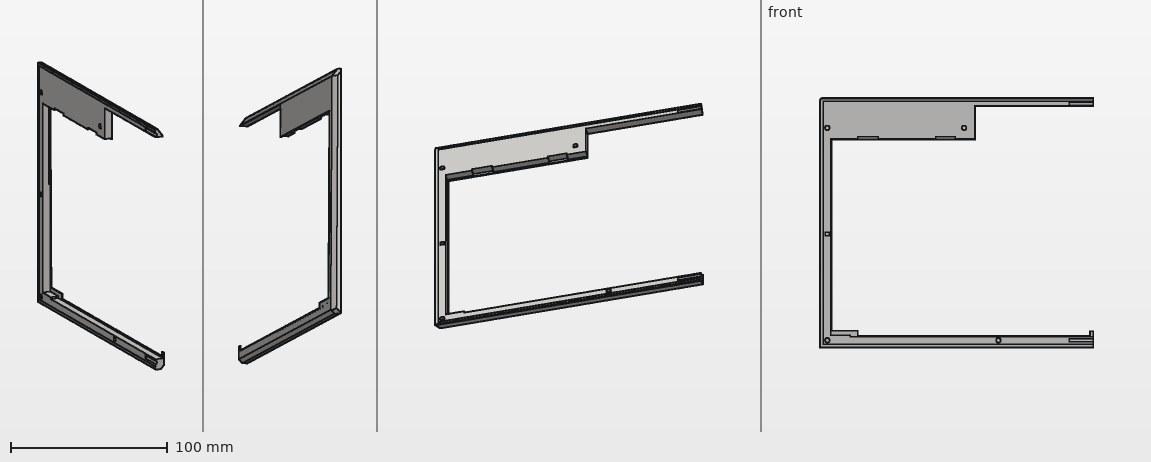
import cadquery as cq

LENGTH = 174.6
HEIGHT = 159.5
DEPTH_BOTTOM = 6.3
DEPTH_TOP = 5.4
MARGIN = 1.7

FRONT_CHAMFER = 0.5
LEFT_BEVEL_X = 3.0
LEFT_BEVEL_START_BOTTOM = 3.5
LEFT_BEVEL_START_TOP = 2.5
TOP_BEVEL_Z = 5.0
TOP_FLAT = 1.5
BOTTOM_BEVEL_Z = 2.5
BOTTOM_FLAT = 3.8

LOWER_FACET_TIP_Y = 0.0
LOWER_FACET_RATE_X = 0.7
LOWER_FACET_RATE_Z = 0.9
UPPER_FACET_TIP_Y = -1.2
UPPER_FACET_RATE_X = 1.1
UPPER_FACET_RATE_Z = 1.3

SIDE_WIDTH = 7.2
LIP = 0.7
LIP_THICKNESS = 0.7
PANEL_RIGHT = 99.2
PANEL_BOTTOM = 133.5
ARM_BOTTOM = 154.2
RAIL_TOP = 7.0
RAIL_STEP_TOP = 8.2
RAIL_STEP_END = 19.4

RIM_WIDTH = 2.3
RECESS_DEPTH = 0.2

TAB_RIGHT = 24.5
TAB_TOP = 11.0
END_TAB_WIDTH = 2.3
END_TAB_TOP = 10.7
NOTCH_SPANS = [(24.3, 37.5), (74.2, 86.5)]
NOTCH_HEIGHT = 1.2

HOLE_DIAMETER = 3.0
HOLE_DEPTH = 2.6
HOLE_INSET = 4.9
HOLE_HIGH_Z = 140.4
PANEL_HOLE_X = 92.2
RAIL_HOLE_X = 114.0
SQUARE_SIZE = 2.5
SQUARE_Z = (HOLE_INSET + HOLE_HIGH_Z) / 2
GROOVE_LENGTH = 15.4
GROOVE_DIAMETER = 2.1
GROOVE_HEIGHTS = [4.9, 155.7]


def box(x0, x1, y0, y1, z0, z1):
    return cq.Workplane("XY").box(x1 - x0, y1 - y0, z1 - z0, centered=False).translate((x0, y0, z0))


def prism_y(points, y0, y1):
    """Extrude an X-Z outline from y0 to y1."""
    return cq.Workplane("XZ", origin=(0, y0, 0)).polyline(points).close().extrude(y0 - y1)


def prism_x(points):
    """Extrude a Y-Z outline past both ends of the frame."""
    return (
        cq.Workplane("YZ", origin=(-MARGIN, 0, 0))
        .polyline(points)
        .close()
        .extrude(LENGTH + 2 * MARGIN)
    )


def back_depth(z):
    """Depth of the sloping back face at height z."""
    return DEPTH_BOTTOM + (DEPTH_TOP - DEPTH_BOTTOM) * z / HEIGHT


def make_blank():
    blank = box(0, LENGTH, 0, DEPTH_BOTTOM, 0, HEIGHT)
    return blank.faces("<Y").edges("<X or >Z or <Z").chamfer(FRONT_CHAMFER)


def left_bevel():
    """Cutter bevelling the left flank, following the sloping back."""
    def section(z):
        rise = (LEFT_BEVEL_START_TOP - LEFT_BEVEL_START_BOTTOM) / HEIGHT
        start = LEFT_BEVEL_START_BOTTOM + rise * z
        bevel_depth = back_depth(z) - start
        slope = LEFT_BEVEL_X / bevel_depth
        reach = bevel_depth + MARGIN
        return cq.Wire.makePolygon([
            cq.Vector(-MARGIN, start - MARGIN / slope, z),
            cq.Vector(reach * slope, start + reach, z),
            cq.Vector(-MARGIN, start + reach, z),
        ], close=True)

    return cq.Workplane(cq.Solid.makeLoft([section(-MARGIN), section(HEIGHT + MARGIN)], True))


def top_bevel():
    slope = TOP_BEVEL_Z / (DEPTH_TOP - TOP_FLAT)
    reach = DEPTH_BOTTOM - TOP_FLAT
    return prism_x([
        (TOP_FLAT, HEIGHT),
        (DEPTH_BOTTOM, HEIGHT - slope * reach),
        (DEPTH_BOTTOM + MARGIN, HEIGHT),
        (DEPTH_BOTTOM, HEIGHT + MARGIN),
    ])


def bottom_bevel():
    return prism_x([
        (BOTTOM_FLAT, 0),
        (DEPTH_BOTTOM, BOTTOM_BEVEL_Z),
        (DEPTH_BOTTOM + MARGIN, 0),
        (DEPTH_BOTTOM, -MARGIN),
    ])


def corner_facet(tip_y, corner_z, rate_x, rate_z):
    """Tetrahedral cutter on the left corner edge at corner_z, widening towards the back."""
    back = DEPTH_BOTTOM + MARGIN
    growth = back - tip_y
    tip = cq.Vector(0, tip_y, corner_z)
    corner = cq.Vector(0, back, corner_z)
    along_x = cq.Vector(rate_x * growth, back, corner_z)
    along_z = cq.Vector(0, back, corner_z + rate_z * growth)
    triangles = [
        (tip, corner, along_x), (tip, along_x, along_z),
        (tip, along_z, corner), (corner, along_z, along_x),
    ]
    faces = [cq.Face.makeFromWires(cq.Wire.makePolygon(points, close=True)) for points in triangles]
    return cq.Workplane(cq.Solid.makeSolid(cq.Shell.makeShell(faces)).fix())


def back_slope():
    return prism_x([
        (DEPTH_BOTTOM, 0),
        (DEPTH_TOP, HEIGHT),
        (DEPTH_BOTTOM + MARGIN, HEIGHT),
    ])


def front_opening():
    right = LENGTH + MARGIN
    points = [
        (SIDE_WIDTH, RAIL_STEP_TOP), (RAIL_STEP_END, RAIL_STEP_TOP),
        (RAIL_STEP_END, RAIL_TOP), (right, RAIL_TOP), (right, ARM_BOTTOM),
        (PANEL_RIGHT, ARM_BOTTOM), (PANEL_RIGHT, PANEL_BOTTOM), (SIDE_WIDTH, PANEL_BOTTOM),
    ]
    opening = prism_y(points, -MARGIN, DEPTH_BOTTOM - LIP_THICKNESS)
    upper_front = prism_y(points, -MARGIN, DEPTH_TOP - LIP_THICKNESS)
    for start, end in NOTCH_SPANS:
        notch = box(start, end, -MARGIN, DEPTH_TOP - LIP_THICKNESS,
                    PANEL_BOTTOM - LIP, PANEL_BOTTOM + NOTCH_HEIGHT)
        upper_front = upper_front.union(notch)
    lower_half = box(0, right, -MARGIN, DEPTH_BOTTOM, 0, HEIGHT / 2)
    return upper_front.union(opening.intersect(lower_half))


def back_opening():
    """Opening through the lip, leaving the two tabs standing."""
    right = LENGTH + MARGIN
    left = SIDE_WIDTH + LIP
    tab_left = LENGTH - END_TAB_WIDTH
    lip_top = RAIL_TOP + LIP
    points = [
        (left, TAB_TOP), (TAB_RIGHT, TAB_TOP), (TAB_RIGHT, lip_top),
        (tab_left, lip_top), (tab_left, END_TAB_TOP), (right, END_TAB_TOP),
        (right, ARM_BOTTOM), (PANEL_RIGHT, ARM_BOTTOM),
        (PANEL_RIGHT, PANEL_BOTTOM - LIP), (left, PANEL_BOTTOM - LIP),
    ]
    return prism_y(points, -MARGIN, DEPTH_BOTTOM + MARGIN)


def front_recess():
    return box(RIM_WIDTH, LENGTH + MARGIN, -MARGIN, RECESS_DEPTH, RIM_WIDTH, HEIGHT - RIM_WIDTH)


def blind_holes():
    centres = [
        (HOLE_INSET, HOLE_INSET), (RAIL_HOLE_X, HOLE_INSET),
        (HOLE_INSET, HOLE_HIGH_Z), (PANEL_HOLE_X, HOLE_HIGH_Z),
    ]
    holes = cq.Workplane("XZ").pushPoints(centres).circle(HOLE_DIAMETER / 2).extrude(-HOLE_DEPTH)
    square = (
        cq.Workplane("XZ")
        .center(HOLE_INSET, SQUARE_Z)
        .rect(SQUARE_SIZE, SQUARE_SIZE)
        .extrude(-HOLE_DEPTH)
    )
    return holes.union(square)


def end_grooves():
    centres = [(RECESS_DEPTH, z) for z in GROOVE_HEIGHTS]
    return (
        cq.Workplane("YZ", origin=(LENGTH - GROOVE_LENGTH, 0, 0))
        .pushPoints(centres)
        .circle(GROOVE_DIAMETER / 2)
        .extrude(GROOVE_LENGTH + MARGIN)
    )


result = make_blank()
cutters = [
    left_bevel(), top_bevel(), bottom_bevel(), back_slope(),
    corner_facet(LOWER_FACET_TIP_Y, 0, LOWER_FACET_RATE_X, LOWER_FACET_RATE_Z),
    corner_facet(UPPER_FACET_TIP_Y, HEIGHT, UPPER_FACET_RATE_X, -UPPER_FACET_RATE_Z),
    front_opening(), back_opening(), front_recess(), blind_holes(), end_grooves(),
]
for cutter in cutters:
    result = result.cut(cutter)